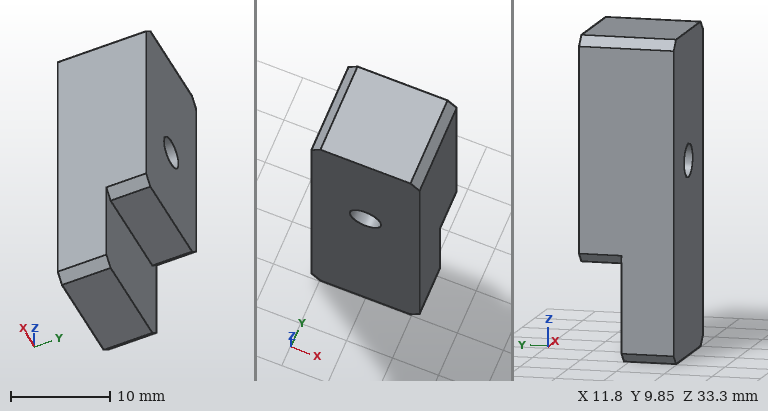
import cadquery as cq

width = 11.8
depth = 9.85
height = 33.3

plate_depth = 5.43
step_height = 10.05
corner_chamfer = 1.0

hole_diameter = 3.4
hole_below_top = 13.32


def chamfered_block(front_y, back_y, bottom_z):
    """Block reaching the top of the part, with its four corners cut along Y."""
    block = cq.Workplane("XY").box(
        width, back_y - front_y, height - bottom_z, centered=(True, False, False)
    )
    return block.edges("|Y").chamfer(corner_chamfer).translate((0, front_y, bottom_z))


front_plate = chamfered_block(0, plate_depth, 0)
rear_block = chamfered_block(plate_depth, depth, step_height)

hole = (
    cq.Workplane("XZ")
    .center(0, height - hole_below_top)
    .circle(hole_diameter / 2)
    .extrude(-depth)
)

result = front_plate.union(rear_block).cut(hole)